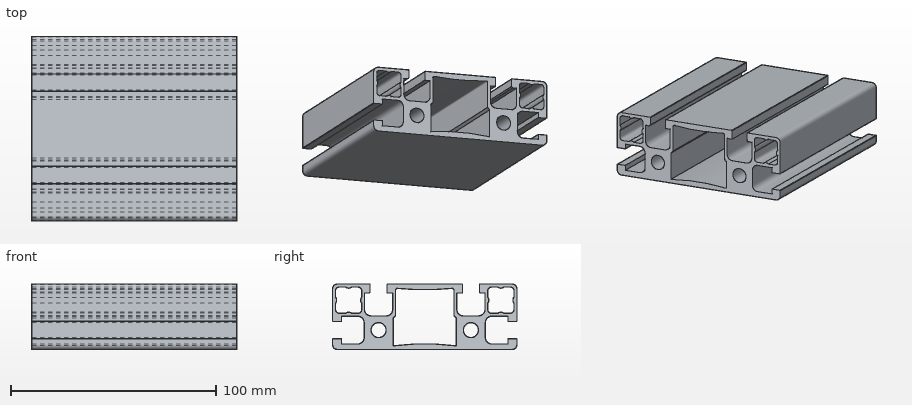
import cadquery as cq
import math

length = 100.0
width = 90.0
height = 32.0
corner_radius = 2.5

core_offset = width / 4
core_height = 9.5
core_hole_diameter = 7.2

slot_mouth = 8.2
slot_width = 13.6
lip_depth = 4.5
mouth_bevel = 0.2
top_slot_depth = 15.5
top_slot_radius = 3.0
lip_bevel = 0.6
side_slot_mouth = 8.4
side_slot_width = 13.4
side_slot_depth = 15.4
side_slot_radius = 3.0

chamber_size = 12.6
chamber_wall = 1.6
chamber_radius = 1.6
rib_width = 2.8
rib_height = 0.5

chamber_lower_width = 30.5
chamber_upper_width = 28.4
chamber_floor = 2.0
chamber_ceiling = 29.9
floor_bow = 0.9
floor_ledge = 1.0
ceiling_bow = 0.8
chamber_step_bottom = 15.4
chamber_step_height = 1.2
chamber_ceiling_radius = 0.8

half_width = width / 2


def extrude_profile(outline):
    """Extrude a closed outline in the YZ plane along the full length."""
    return outline.extrude(length / 2, both=True)


def box_along_x(y_low, y_high, z_low, z_high):
    outline = cq.Workplane("YZ").center((y_low + y_high) / 2, (z_low + z_high) / 2)
    return extrude_profile(outline.rect(y_high - y_low, z_high - z_low))


def both_sides(solid):
    return solid.union(solid.mirror("XZ"))


def body():
    block = box_along_x(-half_width, half_width, 0, height)
    return block.edges("|X").fillet(corner_radius)


def top_slot():
    """T-slot open at the top, on the +Y side."""
    inner = core_offset - slot_mouth / 2
    outer = core_offset + slot_mouth / 2
    lip_bottom = height - lip_depth
    cavity = box_along_x(core_offset - slot_width / 2, core_offset + slot_width / 2,
                         height - top_slot_depth, lip_bottom)
    cavity = cavity.edges("|X and <Z").fillet(top_slot_radius)
    mouth = extrude_profile(
        cq.Workplane("YZ")
        .moveTo(inner - mouth_bevel, height)
        .lineTo(inner, height - mouth_bevel)
        .lineTo(inner, lip_bottom)
        .lineTo(outer + lip_bevel, lip_bottom)
        .lineTo(outer, lip_bottom + lip_bevel)
        .lineTo(outer, height - mouth_bevel)
        .lineTo(outer + mouth_bevel, height)
        .close()
    )
    return cavity.union(mouth)


def side_slot():
    """T-slot open at the +Y face."""
    top = core_height + side_slot_mouth / 2
    bottom = core_height - side_slot_mouth / 2
    lip_inside = half_width - lip_depth
    cavity = box_along_x(half_width - side_slot_depth, lip_inside,
                         core_height - side_slot_width / 2, core_height + side_slot_width / 2)
    cavity = cavity.edges("|X and <Y").fillet(side_slot_radius)
    mouth = extrude_profile(
        cq.Workplane("YZ")
        .moveTo(half_width, top + mouth_bevel)
        .lineTo(half_width - mouth_bevel, top)
        .lineTo(lip_inside, top)
        .lineTo(lip_inside, bottom)
        .lineTo(half_width - mouth_bevel, bottom)
        .lineTo(half_width, bottom - mouth_bevel)
        .close()
    )
    return cavity.union(mouth)


def corner_chamber():
    """Square chamber in the upper +Y corner with a rounded rib on each wall."""
    half = chamber_size / 2
    center_y = half_width - chamber_wall - half
    center_z = height - chamber_wall - half
    chamber = box_along_x(center_y - half, center_y + half, center_z - half, center_z + half)
    chamber = chamber.edges("|X").fillet(chamber_radius)
    rib_radius = (rib_width ** 2 / 4 + rib_height ** 2) / (2 * rib_height)
    rib_axis = half + rib_radius - rib_height
    for quarter_turn in range(4):
        angle = quarter_turn * math.pi / 2
        rib_y = center_y + rib_axis * math.cos(angle)
        rib_z = center_z + rib_axis * math.sin(angle)
        rib = extrude_profile(cq.Workplane("YZ").center(rib_y, rib_z).circle(rib_radius))
        chamber = chamber.cut(rib)
    return chamber


def central_chamber():
    """Stepped chamber whose floor and ceiling bow inwards."""
    lower = chamber_lower_width / 2
    upper = chamber_upper_width / 2
    bow_end = lower - floor_ledge
    step_top = chamber_step_bottom + chamber_step_height
    chamber = extrude_profile(
        cq.Workplane("YZ")
        .moveTo(-lower, chamber_floor)
        .lineTo(-bow_end, chamber_floor)
        .threePointArc((0, chamber_floor + floor_bow), (bow_end, chamber_floor))
        .lineTo(lower, chamber_floor)
        .lineTo(lower, chamber_step_bottom)
        .lineTo(upper, step_top)
        .lineTo(upper, chamber_ceiling)
        .threePointArc((0, chamber_ceiling - ceiling_bow), (-upper, chamber_ceiling))
        .lineTo(-upper, step_top)
        .lineTo(-lower, chamber_step_bottom)
        .close()
    )
    ceiling_corners = cq.selectors.BoxSelector(
        (-length, -half_width, chamber_ceiling - chamber_ceiling_radius),
        (length, half_width, height))
    return chamber.edges("|X").edges(ceiling_corners).fillet(chamber_ceiling_radius)


def core_hole():
    outline = cq.Workplane("YZ").center(core_offset, core_height)
    return extrude_profile(outline.circle(core_hole_diameter / 2))


result = body().cut(central_chamber())
for pocket in (top_slot(), side_slot(), corner_chamber(), core_hole()):
    result = result.cut(both_sides(pocket))